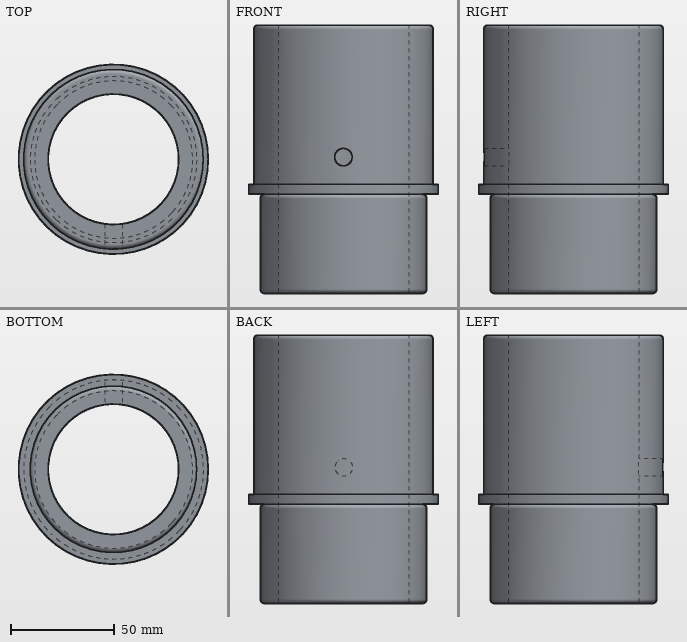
import cadquery as cq

total_height = 130.0
bore_diameter = 63.0
head_diameter = 87.0
spigot_diameter = 80.6
edge_round = 2.1

collar_diameter = 91.9
collar_bottom = 48.1
collar_thickness = 4.8
collar_edge_round = 0.5
collar_top = collar_bottom + collar_thickness

hole_diameter = 8.5
hole_height = 66.0


def cylinder(diameter, bottom, top):
    return cq.Workplane("XY").workplane(offset=bottom).circle(diameter / 2).extrude(top - bottom)


spigot = cylinder(spigot_diameter, 0, collar_bottom).edges().fillet(edge_round)
collar = cylinder(collar_diameter, collar_bottom, collar_top).edges().fillet(collar_edge_round)
head = cylinder(head_diameter, collar_top, total_height).faces(">Z").edges().fillet(edge_round)
bore = cylinder(bore_diameter, 0, total_height)
cross_hole = (
    cq.Workplane("XZ", origin=(0, 0, hole_height))
    .circle(hole_diameter / 2)
    .extrude(head_diameter)
)

result = spigot.union(collar).union(head).cut(bore).cut(cross_hole)